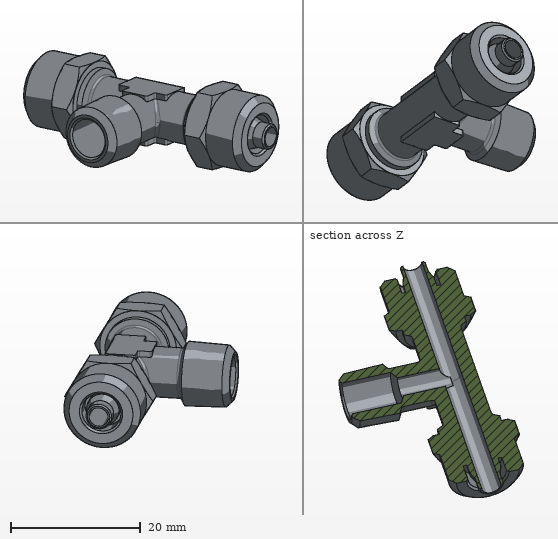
import cadquery as cq
import math

tube_radius = 3.9
run_bore_radius = 1.5
run_half_length = 22.5

collar_radius = 5.0
collar_slope = math.radians(60.0)
neck_fillet = 0.5
neck_radius = tube_radius + neck_fillet * (1 - math.cos(collar_slope))
cone_length = (collar_radius - neck_radius) / math.tan(collar_slope)
neck_length = cone_length + neck_fillet * math.sin(collar_slope)
run_collar_start = 9.55

nut_width = 12.0
nut_inner_face = 10.5
nut_outer_face = 20.5
hex_length = 4.0
hex_face_radius = 5.9
hex_chamfer_angle = 30.0
sleeve_radius = nut_width / 2
sleeve_chamfer = 1.0

mouth_radius = 3.38
pocket_radius = 3.05
mouth_chamfer = mouth_radius - pocket_radius
pocket_floor = 17.5

stem_radius = 2.0
stem_tip_chamfer = 0.25
flare_radius = 2.53
flare_start = 20.5
flare_end = 19.0

branch_length = 17.0
branch_collar_start = 9.7
thread_end_chamfer = 1.0
thread_taper = 1 / 16
thread_length = branch_length - thread_end_chamfer - branch_collar_start
thread_end_radius = collar_radius - thread_length * thread_taper / 2
branch_bore_radius = 3.05
branch_mouth_radius = 3.35
branch_mouth_chamfer = branch_mouth_radius - branch_bore_radius
branch_bore_depth = 8.0
drill_point_angle = 118.0
branch_inner_bore_radius = 1.75

pad_height = 8.1
pad_half_width = 2.37
pad_reach = 4.55
pad_corner_radius = 0.3

crossing_fillet = 0.5


def revolve_about_x(profile):
    return profile.close().revolve(360, (0, 0, 0), (1, 0, 0))


def revolve_about_y(profile):
    return profile.close().revolve(360, (0, 0, 0), (0, 1, 0))


def sharp_pads():
    """T-shaped prism with rounded outer corners on the branch side and sharp inner corners."""
    bar = (
        cq.Workplane("XY")
        .box(2 * pad_reach, 2 * pad_half_width, pad_height)
        .edges("|Z and <Y")
        .fillet(pad_corner_radius)
    )
    leg = (
        cq.Workplane("XY")
        .box(2 * pad_half_width, pad_reach, pad_height)
        .translate((0, -pad_reach / 2, 0))
        .edges("|Z and <Y")
        .fillet(pad_corner_radius)
    )
    return bar.union(leg)


def rounded_pads():
    """The same prism with its inner corners rounded too."""
    pads = sharp_pads()
    inside = (pad_half_width + pad_reach) / 2
    inner_corners = cq.selectors.BoxSelector(
        (-inside, -inside, -pad_height), (inside, 0, pad_height)
    )
    return pads.edges("|Z").edges(inner_corners).fillet(pad_corner_radius)


def crossing():
    """Run and branch tubes with pads; the two mitre curves between the pads are filleted."""
    run = cq.Workplane("YZ").circle(tube_radius).extrude(run_collar_start - neck_length, both=True)
    branch = cq.Workplane("XZ").circle(tube_radius).extrude(branch_collar_start - neck_length)
    forging = run.union(branch).union(sharp_pads())
    near = pad_half_width + pad_corner_radius
    far = tube_radius
    left_quadrant = cq.selectors.BoxSelector((-far, -far, -far), (-near, -near, far))
    right_quadrant = cq.selectors.BoxSelector((near, -far, -far), (far, -near, far))
    mitres = forging.edges(left_quadrant + right_quadrant)
    return mitres.fillet(crossing_fillet).union(rounded_pads())


def run_collar():
    """Neck fillet, cone and collar, continued to the nut face."""
    return revolve_about_x(
        cq.Workplane("XY")
        .moveTo(run_collar_start - neck_length, 0)
        .lineTo(run_collar_start - neck_length, tube_radius)
        .radiusArc((run_collar_start - cone_length, neck_radius), -neck_fillet)
        .lineTo(run_collar_start, collar_radius)
        .lineTo(nut_inner_face, collar_radius)
        .lineTo(nut_inner_face, 0)
    )


def nut_hexagon():
    """Hexagon with flats at top and bottom, corners turned down at both ends."""
    corner_radius = nut_width / 2 / math.cos(math.pi / 6)
    hexagon = (
        cq.Workplane("YZ", origin=(nut_inner_face, 0, 0))
        .polygon(6, 2 * corner_radius)
        .extrude(hex_length)
    )
    inner = nut_inner_face
    outer = nut_inner_face + hex_length
    turned_length = (corner_radius - hex_face_radius) * math.tan(math.radians(hex_chamfer_angle))
    turned = revolve_about_x(
        cq.Workplane("XY")
        .moveTo(inner, 0)
        .lineTo(inner, hex_face_radius)
        .lineTo(inner + turned_length, corner_radius)
        .lineTo(outer - turned_length, corner_radius)
        .lineTo(outer, hex_face_radius)
        .lineTo(outer, 0)
    )
    return hexagon.intersect(turned)


def nut_sleeve():
    return revolve_about_x(
        cq.Workplane("XY")
        .moveTo(nut_inner_face, 0)
        .lineTo(nut_inner_face, sleeve_radius)
        .lineTo(nut_outer_face - sleeve_chamfer, sleeve_radius)
        .lineTo(nut_outer_face, sleeve_radius - sleeve_chamfer)
        .lineTo(nut_outer_face, 0)
    )


def nut_pocket():
    return revolve_about_x(
        cq.Workplane("XY")
        .moveTo(pocket_floor, 0)
        .lineTo(pocket_floor, pocket_radius)
        .lineTo(nut_outer_face - mouth_chamfer, pocket_radius)
        .lineTo(nut_outer_face, mouth_radius)
        .lineTo(nut_outer_face, 0)
    )


def hose_stem():
    return revolve_about_x(
        cq.Workplane("XY")
        .moveTo(pocket_floor, 0)
        .lineTo(pocket_floor, flare_radius)
        .lineTo(flare_end, flare_radius)
        .lineTo(flare_start, stem_radius)
        .lineTo(run_half_length - stem_tip_chamfer, stem_radius)
        .lineTo(run_half_length, stem_radius - stem_tip_chamfer)
        .lineTo(run_half_length, 0)
    )


def run_end():
    """Everything beyond the plain tube on the +X side."""
    nut = nut_hexagon().union(nut_sleeve()).cut(nut_pocket())
    return run_collar().union(nut).union(hose_stem())


def branch_end():
    """Neck fillet, cone and tapered thread body."""
    return revolve_about_y(
        cq.Workplane("XY")
        .moveTo(0, neck_length - branch_collar_start)
        .lineTo(tube_radius, neck_length - branch_collar_start)
        .radiusArc((neck_radius, cone_length - branch_collar_start), -neck_fillet)
        .lineTo(collar_radius, -branch_collar_start)
        .lineTo(thread_end_radius, thread_end_chamfer - branch_length)
        .lineTo(thread_end_radius - thread_end_chamfer, -branch_length)
        .lineTo(0, -branch_length)
    )


def branch_bore():
    """Drilled bore with a chamfered mouth, stepping down through a drill cone."""
    shoulder = branch_bore_depth - branch_length
    cone_drop = branch_bore_radius - branch_inner_bore_radius
    drill_cone_length = cone_drop / math.tan(math.radians(drill_point_angle / 2))
    return revolve_about_y(
        cq.Workplane("XY")
        .moveTo(0, -branch_length)
        .lineTo(branch_mouth_radius, -branch_length)
        .lineTo(branch_bore_radius, branch_mouth_chamfer - branch_length)
        .lineTo(branch_bore_radius, shoulder)
        .lineTo(branch_inner_bore_radius, shoulder + drill_cone_length)
        .lineTo(branch_inner_bore_radius, 0)
        .lineTo(0, 0)
    )


right_end = run_end()
body = crossing().union(right_end).union(right_end.mirror("YZ")).union(branch_end())
run_bore = cq.Workplane("YZ").circle(run_bore_radius).extrude(run_half_length, both=True)
result = body.cut(run_bore).cut(branch_bore())